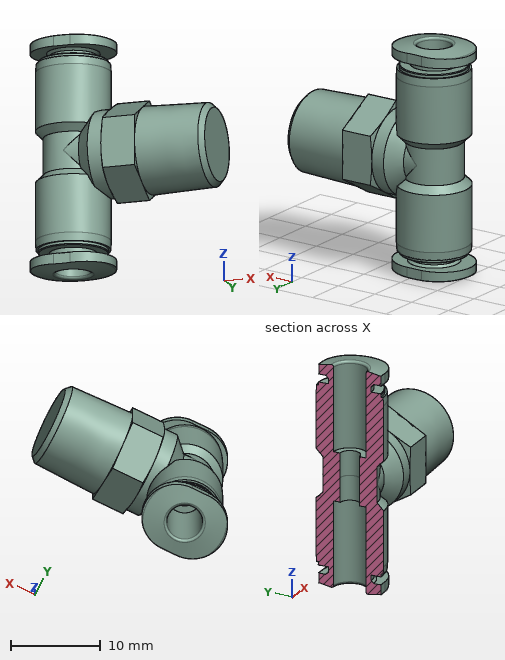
import cadquery as cq
import math

socket_radius = 8.5 / 2
waist_radius = 6.8 / 2
socket_start = 3.0
taper_start = socket_start - (socket_radius - waist_radius)
end_band_start = 9.75
end_band_end = 10.7
end_band_radius = 8.36 / 2
lip_radius = 7.9 / 2
lip_end = 11.1
lip_chamfer = 0.1

button_top = 13.5
button_bottom = 12.0
button_round_radius = 3.9
button_round_offset = 1.0
button_half_length = button_round_radius + button_round_offset
neck_radius = 5.4 / 2
neck_flare = 0.3
crown_edge_radius = 4.7
crown_drop = 0.42
rim_drop = 0.5

tube_bore_radius = 4.0 / 2
mouth_fillet = 0.3
mouth_radius = tube_bore_radius + mouth_fillet
through_bore_diameter = 2.4

hub_radius = 10.0 / 2
hub_start = 3.4
hub_cone_start = hub_start - (hub_radius - waist_radius)
hex_start = 5.0
hex_end = 9.0
hex_across_flats = 10.0
hex_sides = 6
hex_half_sector = 180 / hex_sides
hex_across_corners = hex_across_flats / math.cos(math.radians(hex_half_sector))
hex_chamfer_angle = 15
thread_end = 17.0
thread_taper = 1 / 16
thread_chamfer = 0.6


def revolve_about_z(profile):
    """Turn an (r, z) outline about the Z axis."""
    return cq.Workplane("XZ").polyline(profile).close().revolve(360, (0, 0, 0), (0, 1, 0))


def revolve_about_x(profile):
    """Turn an (x, r) outline about the X axis."""
    return cq.Workplane("XY").polyline(profile).close().revolve(360, (0, 0, 0), (1, 0, 0))


def make_upper_run():
    """Upper half of the run: waist, socket, stepped end and button neck."""
    return revolve_about_z([
        (0, 0),
        (waist_radius, 0),
        (waist_radius, taper_start),
        (socket_radius, socket_start),
        (socket_radius, end_band_start),
        (end_band_radius, end_band_end),
        (lip_radius, end_band_end),
        (lip_radius, lip_end - lip_chamfer),
        (lip_radius - lip_chamfer, lip_end),
        (neck_radius, lip_end),
        (neck_radius, button_bottom - neck_flare),
        (neck_radius + neck_flare, button_bottom),
        (0, button_bottom),
    ])


def make_upper_button():
    """Oblong button with a shallow conical crown and a bevelled rim."""
    slab = (
        cq.Workplane("XY")
        .workplane(offset=button_bottom)
        .slot2D(2 * button_half_length, 2 * button_round_radius)
        .extrude(button_top - button_bottom)
    )
    crown = revolve_about_z([
        (0, button_bottom),
        (button_half_length, button_bottom),
        (button_half_length, button_top - rim_drop),
        (crown_edge_radius, button_top - crown_drop),
        (mouth_radius, button_top),
        (0, button_top),
    ])
    return slab.intersect(crown)


def make_upper_tube_bore():
    """Tube bore with a rounded mouth, seated where the socket begins."""
    fillet_bottom = button_top - mouth_fillet
    fillet_mid_offset = mouth_fillet * math.cos(math.radians(45))
    fillet_mid = (mouth_radius - fillet_mid_offset, fillet_bottom + fillet_mid_offset)
    return (
        cq.Workplane("XZ")
        .moveTo(0, socket_start)
        .lineTo(tube_bore_radius, socket_start)
        .lineTo(tube_bore_radius, fillet_bottom)
        .threePointArc(fillet_mid, (mouth_radius, button_top))
        .lineTo(0, button_top)
        .close()
        .revolve(360, (0, 0, 0), (0, 1, 0))
    )


def make_hub():
    """Round branch growing from the waist through a cone to the full hub."""
    return revolve_about_x([
        (0, 0),
        (0, waist_radius),
        (hub_cone_start, waist_radius),
        (hub_start, hub_radius),
        (hex_start, hub_radius),
        (hex_start, 0),
    ])


def make_hex():
    """Hexagon with flats facing +-Y, corners chamfered on the hub side."""
    prism = (
        cq.Workplane("YZ")
        .workplane(offset=hex_start)
        .polygon(hex_sides, hex_across_corners)
        .extrude(hex_end - hex_start)
        .rotate((0, 0, 0), (1, 0, 0), hex_half_sector)
    )
    corner_radius = hex_across_corners / 2
    chamfer_length = (corner_radius - hub_radius) * math.tan(math.radians(hex_chamfer_angle))
    envelope = revolve_about_x([
        (hex_start, 0),
        (hex_start, hub_radius),
        (hex_start + chamfer_length, corner_radius),
        (hex_end, corner_radius),
        (hex_end, 0),
    ])
    return prism.intersect(envelope)


def make_thread():
    """Smooth tapered thread body with a chamfered tip."""
    chamfer_start = thread_end - thread_chamfer
    tip_radius = hub_radius - (chamfer_start - hex_end) * thread_taper / 2
    return revolve_about_x([
        (hex_end, 0),
        (hex_end, hub_radius),
        (chamfer_start, tip_radius),
        (thread_end, tip_radius - thread_chamfer),
        (thread_end, 0),
    ])


upper_half = make_upper_run().union(make_upper_button())
tube_bore = make_upper_tube_bore()
through_bore = cq.Workplane("XY").circle(through_bore_diameter / 2).extrude(button_top, both=True)

result = (
    upper_half
    .union(upper_half.mirror("XY"))
    .union(make_hub())
    .union(make_hex())
    .union(make_thread())
    .cut(tube_bore)
    .cut(tube_bore.mirror("XY"))
    .cut(through_bore)
)